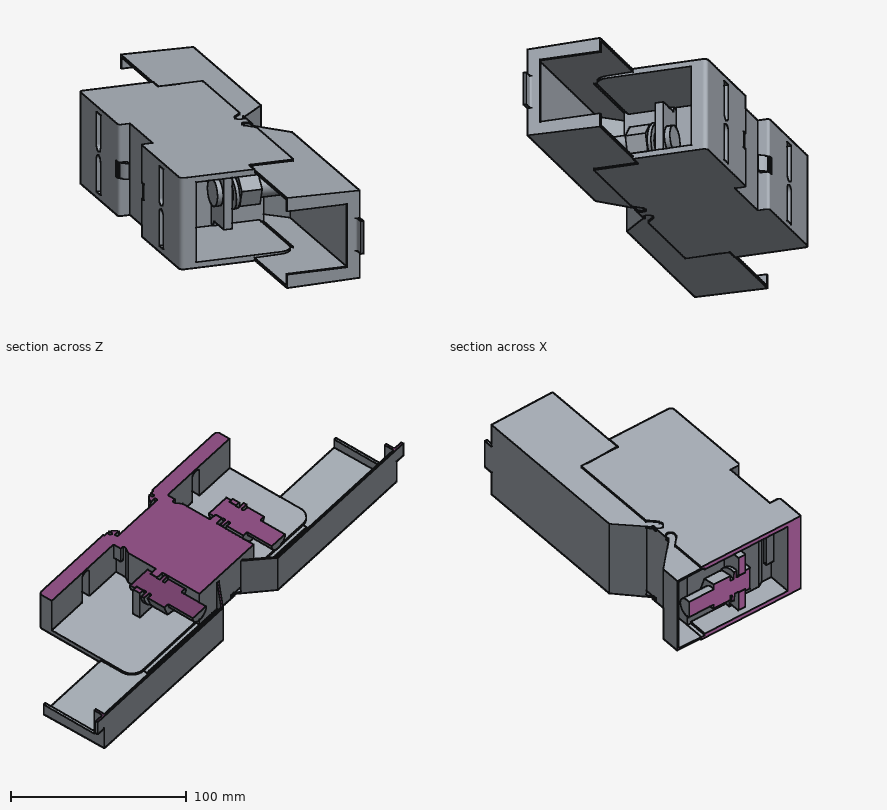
import cadquery as cq
import math

half_length = 140.0
depth = 89.2
height = 55.0
half_height = height / 2
beyond = 14.0

housing_half_length = 81.5
housing_back = 72.0
housing_wall = 9.5
cavity_half_height = 24.0
front_corner_radius = 2.5
leaf_back = 69.5
leaf_corner_radius = 8.5
shoulder_x = 73.0

notch_half_width = 18.2
notch_depth = 7.0
notch_corner_radius = 1.7
clip_half_height = 4.8
clip_recess_x = 22.5
clip_recess_depth = 0.8
clip_slit_x = 20.0
clip_slit_depth = 3.4
clip_base_x = 18.5
clip_bulge_x = 16.0
clip_bulge_y = 2.8
clip_tip_x = 14.5
clip_hook_y = 5.3

core_half_width = 25.0
core_front = 20.1
notch_wall_x = 22.7
boss_half_height = 10.5
boss_back = 14.8

slot_x = 50.4
slot_width = 6.7
slot_inner_z = 1.0
slot_outer_z = 24.0

shelf_back = 45.0
shelf_front = 40.0
shelf_half_height = 20.0
shelf_root_half_height = 22.7
shelf_root_end = 29.5
shelf_end = 45.5

cover_end = 133.7
cover_front = 45.0
cover_wall = 1.5
cover_half_height_front = 27.0
cover_half_height_back = 26.3
cover_side_lean = 1.0
end_wall = 1.7
opening_half_height = 19.0
opening_back = 81.7
vee_top_x = 25.0
vee_wall_bottom = 74.0
arm_width = 4.2
knob_x = 5.5
knob_y = 68.8
knob_radius = 2.8
tab_half_height = 9.8
tab_thickness = 1.7
tab_fillet = 1.0

stud_x = 36.0
stud_radius = 6.2
stud_tip = 80.8
head_radius = 8.0
head_front = 36.6
nut_front = 50.5
nut_back = 63.0
nut_corner_diameter = 21.0
nut_turn = 11.0
washer_radius = 11.0
washer_thickness = 2.2
washer_y = 48.0
washer_tilt = 5.0


def box(x0, x1, y0, y1, half_z):
    """Block between two X and two Y values, symmetric about Z = 0."""
    return cq.Workplane("XY").box(x1 - x0, y1 - y0, 2 * half_z).translate(
        ((x0 + x1) / 2, (y0 + y1) / 2, 0)
    )


def prism(points, half_z):
    """Closed XY polygon extruded symmetrically about Z = 0."""
    return cq.Workplane("XY").polyline(points).close().extrude(half_z, both=True)


def rod(radius, y0, y1):
    """Cylinder along Y on the left stud axis."""
    return cq.Workplane("XZ", origin=(-stud_x, y0, 0)).circle(radius).extrude(y0 - y1)


def mirrored(body):
    """Right-hand twin of a left-hand body."""
    return body.mirror("YZ")


def both_sides(body):
    """A left-hand feature together with its right-hand twin."""
    return body.union(mirrored(body))


def cover_taper(inset):
    """Long wedge between the cover plates' faces, inset from the outer faces."""
    lean = (cover_half_height_front - cover_half_height_back) / (depth - cover_front)
    y0 = cover_front - beyond
    y1 = depth + beyond
    z0 = cover_half_height_front + lean * beyond - inset
    z1 = cover_half_height_back - lean * beyond - inset
    return (
        cq.Workplane("YZ")
        .polyline([(y0, -z0), (y1, -z1), (y1, z1), (y0, z0)])
        .close()
        .extrude(half_length, both=True)
    )


def hinge_arm():
    """Full-height left arm that follows the 45 degree edge down to a round knob."""
    vee_sum = depth - vee_top_x
    arm_sum = vee_sum - arm_width * math.sqrt(2)
    arm_lean = knob_x + knob_y
    arm = prism(
        [
            (arm_sum - housing_back, housing_back),
            (vee_sum - housing_back, housing_back),
            ((vee_sum - arm_lean) / 2, (vee_sum + arm_lean) / 2),
            ((arm_sum - arm_lean) / 2, (arm_sum + arm_lean) / 2),
        ],
        half_height,
    )
    knob = cq.Workplane("XY").center(-knob_x, knob_y).circle(knob_radius)
    knob = knob.extrude(half_height, both=True)
    return arm.union(knob)


def make_cover():
    """Left cover: an open channel with an end frame, a pull tab and hinge arms."""
    vee_sum = depth - vee_top_x
    outline = prism(
        [
            (-cover_end, cover_front),
            (-cover_end, depth),
            (-vee_top_x, depth),
            (vee_sum - housing_back, housing_back),
            (-shoulder_x, housing_back),
            (-shoulder_x - cover_side_lean, cover_front),
        ],
        half_height,
    )
    shell = outline.union(hinge_arm()).intersect(cover_taper(0))

    wall_sum = vee_sum - cover_wall * math.sqrt(2)
    hollow = prism(
        [
            (-cover_end + end_wall, cover_front - beyond),
            (-cover_end + end_wall, depth - cover_wall),
            (wall_sum - depth + cover_wall, depth - cover_wall),
            (wall_sum - vee_wall_bottom, vee_wall_bottom),
            (0, vee_wall_bottom),
            (0, cover_front - beyond),
        ],
        half_height,
    ).intersect(cover_taper(cover_wall))

    opening = box(
        -cover_end - beyond, -cover_end + end_wall, cover_front - beyond, opening_back, opening_half_height
    )
    tab = box(-half_length, -cover_end, depth - tab_thickness, depth, tab_half_height)
    shell = shell.cut(hollow).cut(opening).union(tab)
    tab_root = cq.selectors.NearestToPointSelector((-cover_end, depth - tab_thickness, 0))
    return shell.edges(tab_root).fillet(tab_fillet)


def housing_outline():
    """Solid housing block with its rounded front corners and centre notch."""
    block = box(-housing_half_length, housing_half_length, 0, housing_back, half_height)
    block = block.edges("|Z and <Y").fillet(front_corner_radius)
    notch = box(-notch_half_width, notch_half_width, -beyond, notch_depth, half_height)
    block = block.cut(notch)
    lips = cq.selectors.BoxSelector(
        (-notch_half_width - notch_corner_radius, -notch_corner_radius, -half_height),
        (notch_half_width + notch_corner_radius, notch_corner_radius, half_height),
    )
    return block.edges("|Z").edges(lips).fillet(notch_corner_radius)


def chamber():
    """Left terminal chamber, open at the end and at the back."""
    outside = -housing_half_length - beyond
    return prism(
        [
            (outside, housing_wall),
            (-notch_wall_x, housing_wall),
            (-notch_wall_x, notch_depth + housing_wall),
            (-core_half_width, core_front),
            (-core_half_width, housing_back + beyond),
            (outside, housing_back + beyond),
        ],
        cavity_half_height,
    )


def cover_seat():
    """Left rebate in the outer skin where the cover plates and hinge arms lie."""
    corner = box(
        -housing_half_length - beyond, -shoulder_x, cover_front, housing_back + beyond, half_height
    )
    return corner.union(hinge_arm()).cut(cover_taper(cover_wall))


def leaf_trim():
    """Left waste around the rounded back corner of the inner leaves."""
    leaf = box(-housing_half_length, housing_half_length, 0, leaf_back, half_height)
    leaf = leaf.edges("|Z and >Y").fillet(leaf_corner_radius)
    waste = box(
        -housing_half_length - beyond, -core_half_width, cover_front, housing_back + beyond, half_height
    )
    return waste.cut(leaf).intersect(cover_taper(cover_wall))


def front_slots():
    """Left pair of slots, square outside and round towards the middle."""
    radius = slot_width / 2
    round_z = slot_inner_z + radius
    slot = (
        cq.Workplane("XZ", origin=(-slot_x, housing_wall, 0))
        .moveTo(-radius, slot_outer_z)
        .lineTo(-radius, round_z)
        .threePointArc((0, slot_inner_z), (radius, round_z))
        .lineTo(radius, slot_outer_z)
        .close()
        .extrude(housing_wall)
    )
    return slot.union(slot.mirror("XY"))


def terminal_shelf():
    """Left shelf that carries the stud, wider at its root on the core."""
    root = box(-shelf_root_end, -core_half_width, shelf_front, shelf_back, shelf_root_half_height)
    tongue = box(-shelf_end, -core_half_width, shelf_front, shelf_back, shelf_half_height)
    return root.union(tongue)


def clip_boss():
    """Left boss behind the snap clip."""
    return box(-core_half_width, -notch_wall_x, housing_wall, boss_back, boss_half_height)


def clip_recess():
    """Left shallow recess in the front face, with a deeper slit beside the barb."""
    recess = box(-clip_recess_x, -notch_half_width, 0, clip_recess_depth, clip_half_height)
    slit = box(-clip_slit_x, -notch_half_width, 0, clip_slit_depth, clip_half_height)
    return recess.union(slit)


def clip_barb():
    """Left snap barb on the side of the centre notch, with a bulging front."""
    return (
        cq.Workplane("XY")
        .moveTo(-clip_slit_x, clip_hook_y)
        .lineTo(-clip_slit_x, clip_slit_depth)
        .lineTo(-clip_base_x, clip_slit_depth)
        .lineTo(-clip_base_x, clip_recess_depth)
        .threePointArc((-clip_bulge_x, clip_bulge_y), (-clip_tip_x, clip_hook_y))
        .close()
        .extrude(clip_half_height, both=True)
    )


def make_housing():
    stud_hole = rod(stud_radius, shelf_front, shelf_back)
    housing = housing_outline()
    housing = housing.cut(both_sides(chamber()))
    housing = housing.cut(both_sides(cover_seat()))
    housing = housing.cut(both_sides(leaf_trim()))
    housing = housing.cut(both_sides(front_slots()))
    housing = housing.cut(both_sides(clip_recess()))
    housing = housing.union(both_sides(clip_barb()))
    housing = housing.union(both_sides(clip_boss()))
    return housing.union(both_sides(terminal_shelf().cut(stud_hole)))


def make_terminal():
    """Left stud with its head, nut and tilted spring washer."""
    stud = rod(stud_radius, head_front, stud_tip).union(rod(head_radius, head_front, shelf_front))
    nut = (
        cq.Workplane("XZ", origin=(-stud_x, nut_front, 0))
        .polygon(6, nut_corner_diameter)
        .extrude(nut_front - nut_back)
        .rotate((-stud_x, 0, 0), (-stud_x, 1, 0), nut_turn)
    )
    half_washer = washer_thickness / 2
    washer = rod(washer_radius, washer_y - half_washer, washer_y + half_washer)
    washer = washer.rotate((-stud_x, washer_y, 0), (-stud_x + 2.8, washer_y, 0), washer_tilt)
    return stud.union(nut).union(washer)


housing = make_housing()
bodies = [housing.solids().val()]

for left_body in (make_cover(), make_terminal()):
    for body in (left_body, mirrored(left_body)):
        bodies.append(body.solids().val())

result = cq.Compound.makeCompound(bodies)